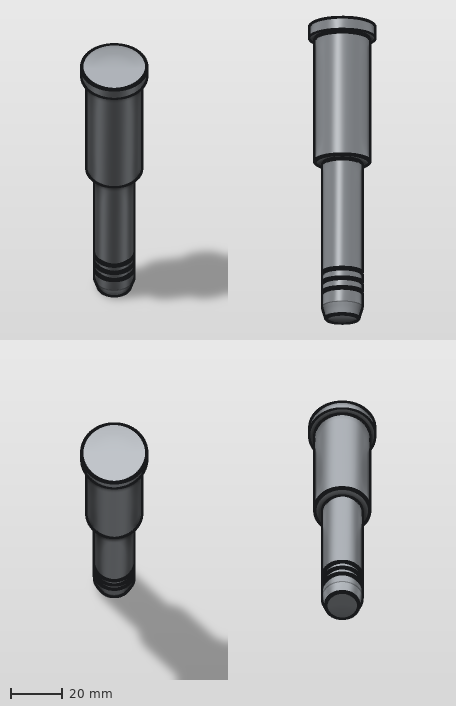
import cadquery as cq

total_length = 120.0
head_radius = 26.0 / 2
head_height = 5.0
head_chamfer = 0.5
body_radius = 11.0
body_bottom_z = 64.1
body_chamfer = 0.5
pin_radius = 8.0

neck_height = 1.0
head_neck_radius = body_radius - 0.5
head_neck_slope_height = 0.4
pin_neck_radius = pin_radius - 0.7

groove_count = 3
groove_pitch = 4.0
groove_width = 1.1
groove_depth = 0.6
groove_wall_height = 0.4
lowest_groove_top_z = 11.2

taper_height = 5.0
tip_radius = 6.7
tip_chamfer = 0.5


def cylinder(radius, bottom_z, top_z):
    return cq.Workplane("XY").workplane(offset=bottom_z).circle(radius).extrude(top_z - bottom_z)


def make_head():
    head = cylinder(head_radius, total_length - head_height, total_length)
    return head.faces(">Z").chamfer(head_chamfer)


def make_body():
    head_bottom_z = total_length - head_height
    body_top_z = head_bottom_z - neck_height
    body = cylinder(body_radius, body_bottom_z, body_top_z + head_neck_slope_height)
    body = body.faces(">Z").chamfer(head_neck_slope_height, body_radius - head_neck_radius)
    body = body.faces("<Z").chamfer(body_chamfer)
    return body.union(cylinder(head_neck_radius, body_top_z, head_bottom_z))


def make_pin():
    pin_top_z = body_bottom_z - neck_height
    profile = (
        cq.Workplane("XZ")
        .moveTo(0, 0)
        .lineTo(tip_radius - tip_chamfer, 0)
        .lineTo(tip_radius, tip_chamfer)
        .lineTo(pin_radius, taper_height)
        .lineTo(pin_radius, pin_top_z)
        .lineTo(pin_neck_radius, pin_top_z)
        .lineTo(pin_neck_radius, body_bottom_z)
        .lineTo(0, body_bottom_z)
        .close()
    )
    return profile.revolve(360, (0, 0, 0), (0, 1, 0))


def make_groove(top_z):
    """Ring with a flat upper face, a short straight root and a sloped lower face."""
    root_radius = pin_radius - groove_depth
    section = (
        cq.Workplane("XZ")
        .moveTo(pin_radius, top_z)
        .lineTo(root_radius, top_z)
        .lineTo(root_radius, top_z - groove_wall_height)
        .lineTo(pin_radius, top_z - groove_width)
        .close()
    )
    return section.revolve(360, (0, 0, 0), (0, 1, 0))


result = make_head().union(make_body()).union(make_pin())
for index in range(groove_count):
    result = result.cut(make_groove(lowest_groove_top_z + index * groove_pitch))